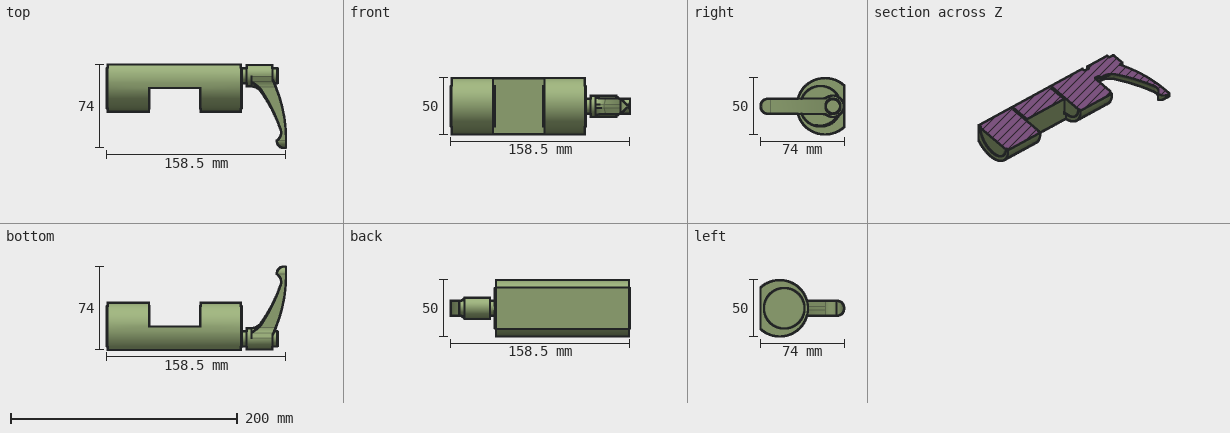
import cadquery as cq

BODY_LENGTH = 117.6
BODY_RADIUS = 25.0
BODY_AXIS_Y = 4.0
BODY_FLAT_Y = 21.0
NOTCH_START_X = 36.5
NOTCH_LENGTH = 45.5
NOTCH_END_X = NOTCH_START_X + NOTCH_LENGTH

BUSHING_RADIUS = 18.0
BUSHING_FILLET = 0.95
BUSHING_OUTER_PROTRUSION = 1.0
BUSHING_INNER_PROTRUSION = 0.5
BORE_OVERRUN = 1.5

LEVER_AXIS_Y = 11.0
STUD_RADIUS = 6.75
HUB_RADIUS = 9.5
HUB_START_X = 122.6
ARM_START_X = 127.1
HUB_END_X = 145.3
BUTTON_END_X = 150.1
BUTTON_CHAMFER = 0.5

ARM_HALF_WIDTH = 6.75
ARM_TIP_Y = -53.0
HUB_FLAT_TOP_Y = 10.4
HUB_FLAT_BOTTOM_Y = 5.9
ARM_BLEND_END_Y = 1.0
ARM_BLEND_SAG = 0.3

ARM_OUTER_X = 157.5
ARM_OUTER_TOP_Y = 8.0
KNOB_TOP_Y = ARM_TIP_Y + ARM_HALF_WIDTH
ARM_OUTER_MID = (153.3, -13.4)
KNOB_INNER_X = 149.1
KNOB_ARC_END_X = KNOB_INNER_X + ARM_HALF_WIDTH
KNOB_CORNER_RADIUS = ARM_OUTER_X - KNOB_ARC_END_X
NECK_MID = (152.95, -40.0)
NECK_TOP = (152.5, -36.4)

RIDGE_HALF_WIDTH = 1.5
RIM_HEIGHT = 10.0
RIDGE_CURVE = (1.4, (131.4, 0.4), (134.5, -1.9), (144.2, -17.4))
RIM_CURVE = (6.8, (132.3, 3.0), (136.6, -2.2), (145.0, -17.4))


def x_cylinder(start_x, end_x, radius, axis_y=0.0):
    """Solid cylinder along X."""
    return (
        cq.Workplane("YZ", origin=(start_x, axis_y, 0))
        .circle(radius)
        .extrude(end_x - start_x)
    )


def make_body():
    body = x_cylinder(0, BODY_LENGTH, BODY_RADIUS, BODY_AXIS_Y)
    size = 4 * BODY_RADIUS
    behind_flat = cq.Workplane("XY").box(
        BODY_LENGTH, size, size, centered=(False, False, True)
    ).translate((0, BODY_FLAT_Y, 0))
    notch = cq.Workplane("XY").box(
        NOTCH_LENGTH, size, size, centered=(False, False, True)
    ).translate((NOTCH_START_X, -size, 0))
    return body.cut(behind_flat).cut(notch)


def add_bushings(body):
    """Bore both arms slightly past the notch walls, then fill the bores with bushings."""
    left_bore = x_cylinder(0, NOTCH_START_X + BORE_OVERRUN, BUSHING_RADIUS)
    right_bore = x_cylinder(NOTCH_END_X - BORE_OVERRUN, BODY_LENGTH, BUSHING_RADIUS)
    left = x_cylinder(
        -BUSHING_OUTER_PROTRUSION, NOTCH_START_X + BUSHING_INNER_PROTRUSION, BUSHING_RADIUS
    ).faces("<X").edges().fillet(BUSHING_FILLET)
    right = x_cylinder(
        NOTCH_END_X - BUSHING_INNER_PROTRUSION,
        BODY_LENGTH + BUSHING_OUTER_PROTRUSION,
        BUSHING_RADIUS,
    ).faces(">X").edges().fillet(BUSHING_FILLET)
    return body.cut(left_bore).cut(right_bore).union(left).union(right)


def arm_wire(work, root_curve):
    """Closed outline of the hub and arm, with the given curve on the inner side."""
    start_y, root_mid, root_end, arm_mid = root_curve
    hub_top_y = LEVER_AXIS_Y + HUB_RADIUS
    return (
        work.moveTo(ARM_START_X, hub_top_y)
        .lineTo(HUB_END_X, hub_top_y)
        .lineTo(HUB_END_X, ARM_OUTER_TOP_Y)
        .threePointArc(ARM_OUTER_MID, (ARM_OUTER_X, KNOB_TOP_Y))
        .lineTo(ARM_OUTER_X, ARM_TIP_Y + KNOB_CORNER_RADIUS)
        .radiusArc((KNOB_ARC_END_X, ARM_TIP_Y), KNOB_CORNER_RADIUS)
        .radiusArc((KNOB_INNER_X, KNOB_TOP_Y), ARM_HALF_WIDTH)
        .threePointArc(NECK_MID, NECK_TOP)
        .threePointArc(arm_mid, root_end)
        .threePointArc(root_mid, (ARM_START_X, start_y))
        .close()
    )


def make_arm_plan():
    """Arm outline with a flat central ridge and sloping flanks towards both rims."""
    ridge = arm_wire(
        cq.Workplane("XY").workplane(offset=-RIDGE_HALF_WIDTH), RIDGE_CURVE
    ).extrude(2 * RIDGE_HALF_WIDTH)
    lower = cq.Workplane("XY").workplane(offset=RIDGE_HALF_WIDTH)
    upper = arm_wire(lower, RIDGE_CURVE).workplane(offset=RIM_HEIGHT - RIDGE_HALF_WIDTH)
    flank = arm_wire(upper, RIM_CURVE).loft(ruled=True)
    return ridge.union(flank).union(flank.mirror("XY"))


def hub_half_height(y):
    """Half height of the hub cylinder at a given Y."""
    return (HUB_RADIUS**2 - (y - LEVER_AXIS_Y) ** 2) ** 0.5


def make_arm_section():
    """Hub and arm cross-section: flats on the hub, hollow blends and a round tip."""
    flat_top_z = hub_half_height(HUB_FLAT_TOP_Y)
    flat_bottom_z = hub_half_height(HUB_FLAT_BOTTOM_Y)
    blend_mid_y = (HUB_FLAT_BOTTOM_Y + ARM_BLEND_END_Y) / 2
    blend_mid_z = (flat_bottom_z + ARM_HALF_WIDTH) / 2 - ARM_BLEND_SAG
    return (
        cq.Workplane("YZ", origin=(ARM_START_X, 0, 0))
        .moveTo(HUB_FLAT_TOP_Y, flat_top_z)
        .lineTo(HUB_FLAT_BOTTOM_Y, flat_bottom_z)
        .threePointArc((blend_mid_y, blend_mid_z), (ARM_BLEND_END_Y, ARM_HALF_WIDTH))
        .lineTo(KNOB_TOP_Y, ARM_HALF_WIDTH)
        .threePointArc((ARM_TIP_Y, 0), (KNOB_TOP_Y, -ARM_HALF_WIDTH))
        .lineTo(ARM_BLEND_END_Y, -ARM_HALF_WIDTH)
        .threePointArc((blend_mid_y, -blend_mid_z), (HUB_FLAT_BOTTOM_Y, -flat_bottom_z))
        .lineTo(HUB_FLAT_TOP_Y, -flat_top_z)
        .threePointArc((LEVER_AXIS_Y + HUB_RADIUS, 0), (HUB_FLAT_TOP_Y, flat_top_z))
        .close()
        .extrude(ARM_OUTER_X - ARM_START_X)
    )


def make_lever():
    arm = make_arm_plan().intersect(make_arm_section())
    hub_collar = x_cylinder(HUB_START_X, ARM_START_X, HUB_RADIUS, LEVER_AXIS_Y)
    spindle = x_cylinder(BODY_LENGTH, BUTTON_END_X, STUD_RADIUS, LEVER_AXIS_Y)
    spindle = spindle.faces(">X").chamfer(BUTTON_CHAMFER)
    return arm.union(hub_collar).union(spindle)


result = add_bushings(make_body()).union(make_lever())